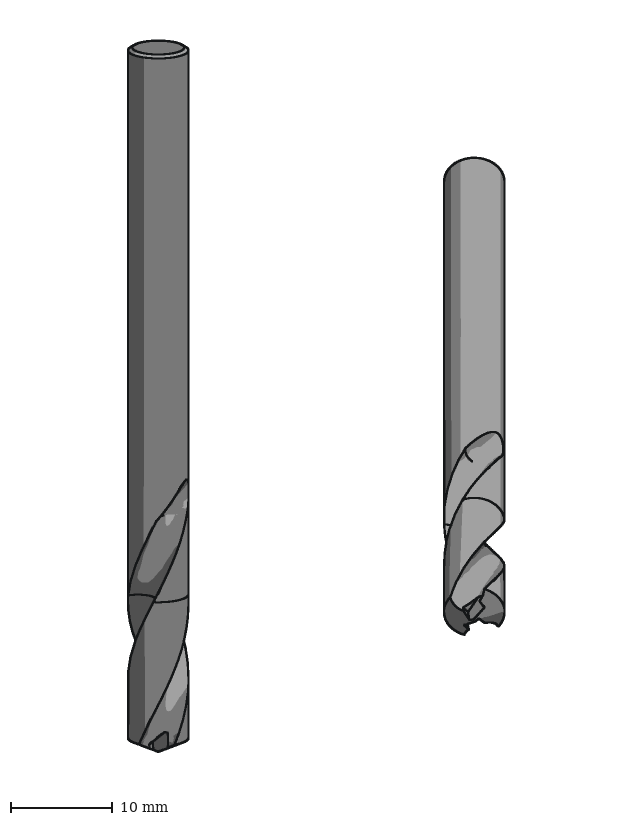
import cadquery as cq
import math

length = 72.0
diameter = 6.0
radius = diameter / 2
point_height = 1.45
cutting_length = 16.1
shank_chamfer_width = 0.4
shank_chamfer_height = 0.3

flute_count = 2
flute_spacing = 360 / flute_count
flute_pitch = 38.3
flute_radius = 1.8
web_radius = 1.0
flute_offset = web_radius + flute_radius
flute_front_height = 18.65
flute_helix_top = 24.4
runout_top = 28.15
runout_offset = radius + flute_radius
runout_angle = 0.0
overcut = 0.7

gash_wall_offset = 0.15
gash_tilt = 14.0
gash_inner = (-0.4, 1.3)
gash_peak = (1.2, 2.6)
gash_outer = (1.45, 1.6)


def flute_angle(height):
    """Direction of the first flute, in degrees from +X, at a height."""
    return -90 + 360 * (height - flute_front_height) / flute_pitch


def flute_section(height, offset, angle):
    """Round flute section at a height, at a distance and direction from the axis."""
    x = offset * math.cos(math.radians(angle))
    y = offset * math.sin(math.radians(angle))
    return cq.Workplane("XY", origin=(0, 0, height)).moveTo(x, y).circle(flute_radius)


def make_flute():
    """Cutters for the first flute: a helical length and a straight runout that leaves the drill."""
    helix_height = flute_helix_top + overcut
    helical = (
        cq.Workplane("XY")
        .moveTo(flute_offset, 0)
        .circle(flute_radius)
        .twistExtrude(helix_height, 360 * helix_height / flute_pitch)
        .rotate((0, 0, 0), (0, 0, 1), flute_angle(-overcut))
        .translate((0, 0, -overcut))
    )
    bottom = flute_section(flute_helix_top, flute_offset, flute_angle(flute_helix_top))
    top = flute_section(runout_top, runout_offset, runout_angle)
    runout = cq.Solid.makeLoft([bottom.wires().val(), top.wires().val()], True)
    return helical, cq.Workplane(obj=runout)


def make_gash():
    """Gash beside the -Y side of the point, open toward -Y and downward."""
    return (
        cq.Workplane("XZ", origin=(0, -gash_wall_offset, 0))
        .polyline([
            gash_inner, gash_peak, gash_outer,
            (gash_outer[0], -overcut), (gash_inner[0], -overcut),
        ])
        .close()
        .extrude(radius)
        .rotate((0, -gash_wall_offset, 0), (1, -gash_wall_offset, 0), gash_tilt)
    )


def cut_around(body, cutter):
    """Cut one cutter for each flute, equally spaced around the axis."""
    for index in range(flute_count):
        body = body.cut(cutter.rotate((0, 0, 0), (0, 0, 1), index * flute_spacing))
    return body


def make_cutting_head(helical_flute, gash):
    """Fluted cutting part with its conical point."""
    head = (
        cq.Workplane("XZ")
        .polyline([
            (0, 0), (radius, point_height), (radius, cutting_length), (0, cutting_length),
        ])
        .close()
        .revolve(360, (0, 0), (0, 1))
    )
    head = cut_around(head, helical_flute)
    return cut_around(head, gash)


def make_shank(helical_flute, flute_runout):
    """Shank with a chamfered top and the upper ends of the flutes."""
    shank = (
        cq.Workplane("XZ")
        .polyline([
            (0, cutting_length), (radius, cutting_length),
            (radius, length - shank_chamfer_height),
            (radius - shank_chamfer_width, length), (0, length),
        ])
        .close()
        .revolve(360, (0, 0), (0, 1))
    )
    shank = cut_around(shank, helical_flute)
    return cut_around(shank, flute_runout)


helical_flute, flute_runout = make_flute()
cutting_head = make_cutting_head(helical_flute, make_gash())
shank = make_shank(helical_flute, flute_runout)

result = cq.Compound.makeCompound([cutting_head.val(), shank.val()])